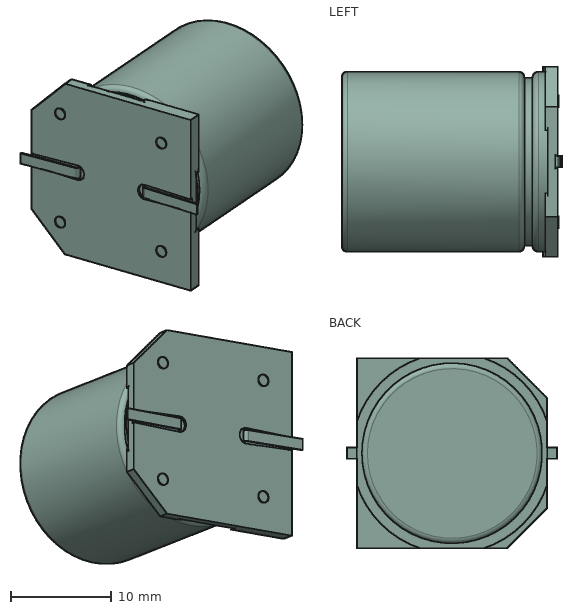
import cadquery as cq
import math


TOTAL_LENGTH = 22.0
LEAD_SPAN = 21.0
LEAD_DROP = 0.45
CAN_TOP = TOTAL_LENGTH - LEAD_DROP

BASE_SIDE = 19.0
BASE_HALF = BASE_SIDE / 2
CORNER_CUT = 4.0
FLOOR_THICKNESS = 1.0
LOW_WALL_HEIGHT = 1.23
HIGH_WALL_HEIGHT = 1.5
SEAT_RADIUS = 10.0

FOOT_RADIUS = 0.6
FOOT_HEIGHT = 0.1
FOOT_OFFSET = 6.03

CAN_RADIUS = 9.0
TOP_ROUND = 0.53
GROOVE_DEPTH = 0.6
GROOVE_WIDTH = 0.8
FLANGE_HEIGHT = 0.95

LEAD_WIDTH = 1.15
LEAD_THICKNESS = 0.2
LEAD_SLOPE = math.tan(math.radians(2.0))
LEAD_INNER_X = 3.8
BEND_OUTER_RADIUS = 0.29
BEND_INNER_RADIUS = BEND_OUTER_RADIUS - LEAD_THICKNESS
LEAD_TIP_X = LEAD_SPAN / 2

SLOT_DEPTH = 0.26
SLOT_END_X = 4.03
SLOT_END_RADIUS = 0.81
SLOT_MOUTH_HALF_WIDTH = 0.65

SIDES = (-1, 1)


def plane_at(height):
    """Plane normal to +Y at the given height, with local x along X and local y along -Z."""
    return cq.Workplane(cq.Plane(origin=(0, height, 0), xDir=(1, 0, 0), normal=(0, 1, 0)))


def make_can():
    """Revolved can with a rounded top and a groove between two rounded shoulders."""
    neck_radius = CAN_RADIUS - GROOVE_DEPTH
    flange_top = FLOOR_THICKNESS + FLANGE_HEIGHT
    neck_bottom = flange_top + GROOVE_DEPTH
    neck_top = neck_bottom + GROOVE_WIDTH
    barrel_bottom = neck_top + GROOVE_DEPTH
    shoulder_bulge = GROOVE_DEPTH * math.sqrt(0.5)
    top_bulge = TOP_ROUND * math.sqrt(0.5)
    top_round_start = CAN_TOP - TOP_ROUND
    profile = (
        cq.Workplane("XY")
        .moveTo(0, FLOOR_THICKNESS)
        .lineTo(CAN_RADIUS, FLOOR_THICKNESS)
        .lineTo(CAN_RADIUS, flange_top)
        .threePointArc(
            (neck_radius + shoulder_bulge, flange_top + shoulder_bulge),
            (neck_radius, neck_bottom),
        )
        .lineTo(neck_radius, neck_top)
        .threePointArc(
            (neck_radius + shoulder_bulge, barrel_bottom - shoulder_bulge),
            (CAN_RADIUS, barrel_bottom),
        )
        .lineTo(CAN_RADIUS, top_round_start)
        .threePointArc(
            (CAN_RADIUS - TOP_ROUND + top_bulge, top_round_start + top_bulge),
            (CAN_RADIUS - TOP_ROUND, CAN_TOP),
        )
        .lineTo(0, CAN_TOP)
        .close()
    )
    return profile.revolve(360, (0, 0), (0, 1))


def make_plate():
    """Square plate with chamfered -X corners, walls of two heights and a round seat."""
    plate = (
        plane_at(0)
        .rect(BASE_SIDE, BASE_SIDE)
        .extrude(HIGH_WALL_HEIGHT)
        .edges("|Y and <X")
        .chamfer(CORNER_CUT)
    )
    low_side = (
        plane_at(LOW_WALL_HEIGHT)
        .center(-BASE_HALF / 2, 0)
        .rect(BASE_HALF, BASE_SIDE)
        .extrude(HIGH_WALL_HEIGHT - LOW_WALL_HEIGHT)
    )
    seat = plane_at(FLOOR_THICKNESS).circle(SEAT_RADIUS).extrude(HIGH_WALL_HEIGHT - FLOOR_THICKNESS)
    return plate.cut(low_side).cut(seat)


def make_slot(side):
    """Slot that widens inward to a round end tangent to its flanks."""
    reach = BASE_HALF - SLOT_END_X
    corner_distance = math.hypot(reach, SLOT_MOUTH_HALF_WIDTH)
    tangent_angle = math.atan2(SLOT_MOUTH_HALF_WIDTH, reach) + math.acos(SLOT_END_RADIUS / corner_distance)
    tangent_x = SLOT_END_X + SLOT_END_RADIUS * math.cos(tangent_angle)
    tangent_z = SLOT_END_RADIUS * math.sin(tangent_angle)
    return (
        plane_at(0)
        .moveTo(side * BASE_HALF, SLOT_MOUTH_HALF_WIDTH)
        .lineTo(side * tangent_x, tangent_z)
        .threePointArc((side * (SLOT_END_X - SLOT_END_RADIUS), 0), (side * tangent_x, -tangent_z))
        .lineTo(side * BASE_HALF, -SLOT_MOUTH_HALF_WIDTH)
        .close()
        .extrude(SLOT_DEPTH)
    )


def make_base():
    """Base plate with four round feet and one slot per lead."""
    feet = (
        plane_at(0)
        .rect(2 * FOOT_OFFSET, 2 * FOOT_OFFSET, forConstruction=True)
        .vertices()
        .circle(FOOT_RADIUS)
        .extrude(-FOOT_HEIGHT)
    )
    base = make_plate().union(feet)
    for side in SIDES:
        base = base.cut(make_slot(side))
    return base


def make_lead(side):
    """Bent strip: a short stub up to the slot ceiling and a tongue sloping down outward."""
    stub_outer_x = LEAD_INNER_X + LEAD_THICKNESS
    tip_bottom = -LEAD_DROP
    tip_top = tip_bottom + LEAD_THICKNESS
    outer_corner_y = tip_bottom + LEAD_SLOPE * (LEAD_TIP_X - LEAD_INNER_X)
    inner_corner_y = tip_top + LEAD_SLOPE * (LEAD_TIP_X - stub_outer_x)
    outer_corner = (side * LEAD_INNER_X, outer_corner_y)
    inner_corner = (side * stub_outer_x, inner_corner_y)
    strip = (
        cq.Workplane("XY")
        .polyline([
            (side * LEAD_INNER_X, SLOT_DEPTH),
            outer_corner,
            (side * LEAD_TIP_X, tip_bottom),
            (side * LEAD_TIP_X, tip_top),
            inner_corner,
            (side * stub_outer_x, SLOT_DEPTH),
        ])
        .close()
        .extrude(LEAD_WIDTH / 2, both=True)
    )
    for corner, radius in ((outer_corner, BEND_OUTER_RADIUS), (inner_corner, BEND_INNER_RADIUS)):
        strip = strip.edges(cq.selectors.NearestToPointSelector((*corner, 0))).fillet(radius)
    return strip


can = make_can()
base = make_base()
leads = [make_lead(side) for side in SIDES]

result = cq.Compound.makeCompound([can.val(), base.val(), *[lead.val() for lead in leads]])